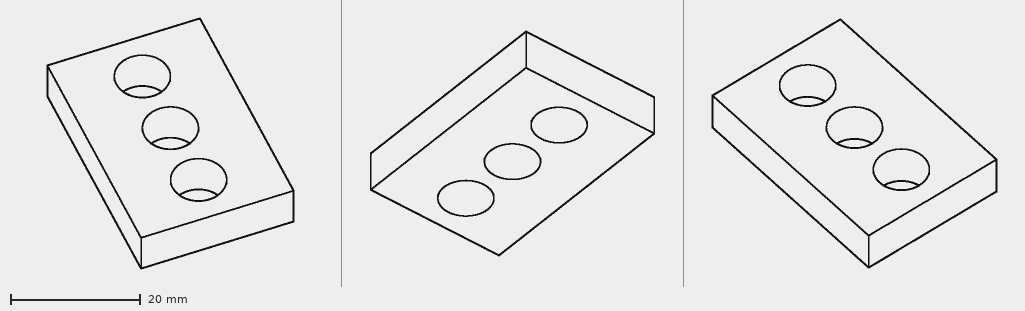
import cadquery as cq

length = 38.1
width = 25.4
thickness = 7.25

hole_count = 3
hole_diameter = 8.65
hole_pitch = 11.43

plate = cq.Workplane("XY").box(length, width, thickness)

result = (
    plate.faces(">Z")
    .workplane()
    .rarray(hole_pitch, hole_pitch, hole_count, 1)
    .hole(hole_diameter)
)